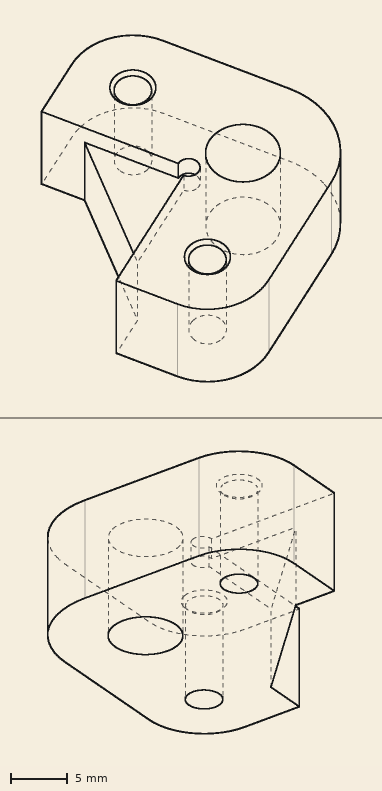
import cadquery as cq

side = 26.45
height = 10.0
arm_width = 12.0
end_radius = arm_width / 2
corner_radius = 8.0
inner = side - arm_width

web_leg = 10.21
web_drop = 2.0

relief_diameter = 2.0

screw_diameter = 3.3
screw_mouth_diameter = 4.05
screw_chamfer = (screw_mouth_diameter - screw_diameter) / 2
screw_centers = [(end_radius, side - end_radius), (side - end_radius, end_radius)]
large_diameter = 6.6
large_center = 18.02


def make_bracket():
    """L-shaped plate with rounded outer corners."""
    plate = (
        cq.Workplane("XY")
        .moveTo(0, inner)
        .lineTo(inner, inner)
        .lineTo(inner, 0)
        .lineTo(side, 0)
        .lineTo(side, side)
        .lineTo(0, side)
        .close()
        .extrude(height)
    )
    plate = plate.edges(cq.selectors.NearestToPointSelector((side, side, height / 2))).fillet(corner_radius)
    for x, y in [(0, side), (side, 0)]:
        plate = plate.edges(cq.selectors.NearestToPointSelector((x, y, height / 2))).fillet(end_radius)
    return plate


def make_web():
    """Triangular prism between the two arms."""
    return (
        cq.Workplane("XY")
        .moveTo(inner, inner)
        .lineTo(inner - web_leg, inner)
        .lineTo(inner, inner - web_leg)
        .close()
        .extrude(height - web_drop)
    )


def make_screw_cutter(x, y):
    """Through hole with a 45 degree chamfer at the top face."""
    hole = cq.Workplane("XY").center(x, y).circle(screw_diameter / 2).extrude(height)
    mouth = (
        cq.Workplane("XY", origin=(x, y, height))
        .circle(screw_mouth_diameter / 2)
        .extrude(-screw_chamfer, taper=45)
    )
    return hole.union(mouth)


result = make_bracket().union(make_web())

relief = (
    cq.Workplane("XY", origin=(inner, inner, height))
    .circle(relief_diameter / 2)
    .extrude(-web_drop)
)
result = result.cut(relief)

large_hole = (
    cq.Workplane("XY")
    .center(large_center, large_center)
    .circle(large_diameter / 2)
    .extrude(height)
)
result = result.cut(large_hole)

for center_x, center_y in screw_centers:
    result = result.cut(make_screw_cutter(center_x, center_y))